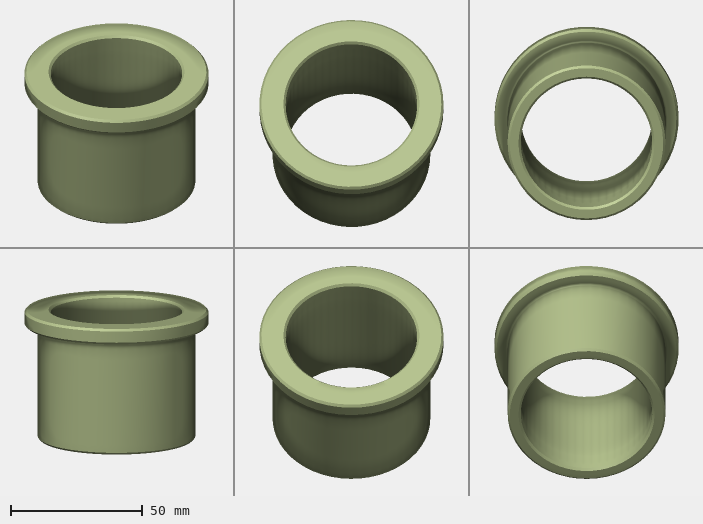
import cadquery as cq

flange_diameter = 70.0
body_diameter = 60.0
bore_diameter = 50.0
total_height = 50.0
flange_thickness = 6.0
edge_chamfer = 0.85
neck_fillet = 0.8

body_length = total_height - flange_thickness


def cylindrical_body():
    """Plain cylinder from the base up to the flange underside."""
    return cq.Workplane("XY").circle(body_diameter / 2).extrude(body_length)


def flange():
    """Disc on top of the body, chamfered on both outer rims."""
    disc = cq.Workplane("XY", origin=(0, 0, body_length))
    disc = disc.circle(flange_diameter / 2).extrude(flange_thickness)
    return disc.edges().chamfer(edge_chamfer)


bushing = cylindrical_body().union(flange())
inner_corner = cq.selectors.RadiusNthSelector(0)
bushing = bushing.faces("<Z[1]").edges(inner_corner).fillet(neck_fillet)

bushing = bushing.faces("<Z").workplane().hole(bore_diameter)
bushing = bushing.faces("<Z").edges().chamfer(edge_chamfer)
bore_rim = cq.selectors.RadiusNthSelector(0)
result = bushing.faces(">Z").edges(bore_rim).chamfer(edge_chamfer)